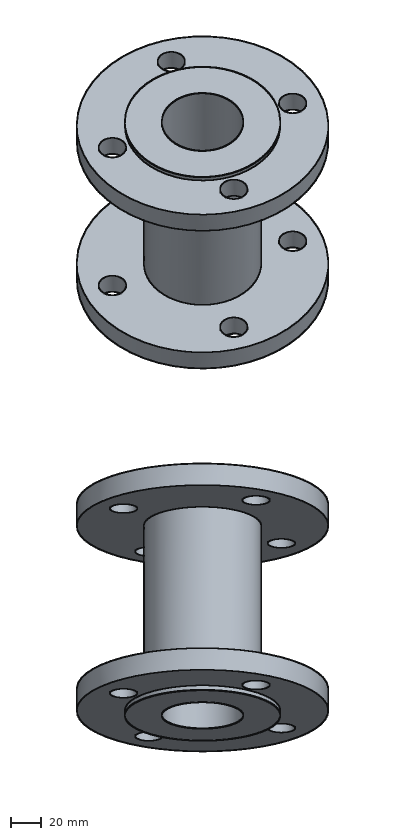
import cadquery as cq

flange_diameter = 165.0
overall_height = 150.0

pipe_diameter = 77.0
bore_diameter = 53.5

flange_thickness = 15.0
raised_face_diameter = 102.0
raised_face_height = 3.5

facing_thickness = 0.5

bolt_hole_diameter = 18.0
bolt_circle_diameter = 125.0
bolt_count = 4
first_bolt_angle = 45.0

spool_end = overall_height / 2 - facing_thickness
flange_outer_face = overall_height / 2 - raised_face_height
flange_inner_face = flange_outer_face - flange_thickness


def make_cylinder(diameter, bottom, top):
    """Cylinder on the Z axis between two heights."""
    return cq.Workplane("XY").workplane(offset=bottom).circle(diameter / 2).extrude(top - bottom)


def make_spool():
    """Flanged pipe: tube, two flanges and their raised faces in one piece."""
    raised_faces = make_cylinder(raised_face_diameter, -spool_end, spool_end)
    flanges = make_cylinder(flange_diameter, -flange_outer_face, flange_outer_face)
    body = raised_faces.union(flanges)

    waist = make_cylinder(flange_diameter, -flange_inner_face, flange_inner_face)
    pipe = make_cylinder(pipe_diameter, -flange_inner_face, flange_inner_face)
    body = body.cut(waist).union(pipe)

    bore = make_cylinder(bore_diameter, -spool_end, spool_end)
    bolt_holes = (
        cq.Workplane("XY")
        .polarArray(bolt_circle_diameter / 2, first_bolt_angle, 360, bolt_count)
        .circle(bolt_hole_diameter / 2)
        .extrude(flange_outer_face, both=True)
    )
    return body.cut(bore).cut(bolt_holes)


def make_facing_ring(bottom):
    """Thin flat ring matching the raised face and the bore."""
    top = bottom + facing_thickness
    disc = make_cylinder(raised_face_diameter, bottom, top)
    return disc.cut(make_cylinder(bore_diameter, bottom, top))


spool = make_spool()

facing_rings = []
for ring_bottom in (-overall_height / 2, spool_end):
    facing_rings.append(make_facing_ring(ring_bottom).val())

result = cq.Compound.makeCompound([spool.val(), *facing_rings])